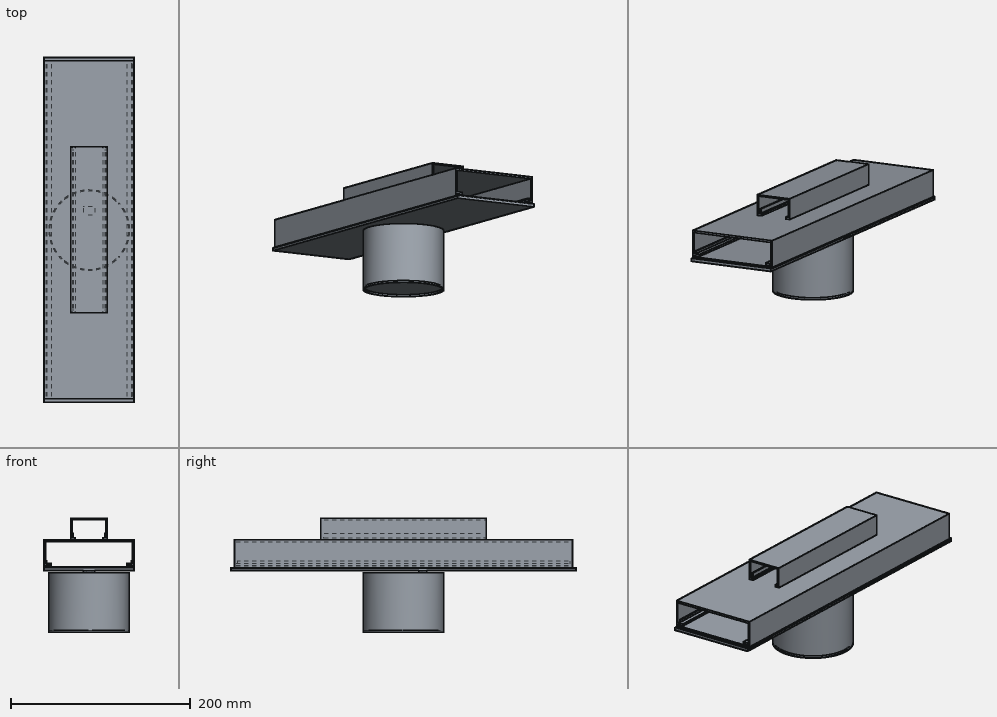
import cadquery as cq

OVERALL_LENGTH = 384.0
OVERALL_WIDTH = 100.5
OVERALL_HEIGHT = 127.0

DRUM_DIAMETER = 90.0
DRUM_HEIGHT = 66.5
RECESS_RIM = 1.0
RECESS_DEPTH = 2.3

SPACER_WIDTH = 13.0
SPACER_DEPTH = 9.2
SPACER_HEIGHT = 2.3
SPACER_FRONT = 17.0
SPACER_CORNER_RADIUS = 3.5

PLATE_THICKNESS = 3.5
PLATE_CHAMFER = 0.8
PANEL_THICKNESS = 1.0
PANEL_SIDE_GAP = 0.5

HOUSING_LENGTH = 376.5
HOUSING_HEIGHT = 31.0
HOUSING_TOP_THICKNESS = 2.3
HOUSING_LIP_WIDTH = 8.5
HOUSING_LIP_LIFT = 2.3
HOUSING_RAIL_HEIGHT = 2.5

BRACKET_LENGTH = 184.5
BRACKET_WIDTH = 40.7
BRACKET_TOP_THICKNESS = 1.5
BRACKET_LIP_WIDTH = 5.0
BRACKET_RAIL_HEIGHT = 5.0

WALL = 2.0
LIP_THICKNESS = 2.3
RAIL_THICKNESS = 1.0
RAIL_END_SETBACK = 3.0

SPACER_BASE = DRUM_HEIGHT
PLATE_BASE = SPACER_BASE + SPACER_HEIGHT
HOUSING_BASE = PLATE_BASE + PLATE_THICKNESS
BRACKET_BASE = HOUSING_BASE + HOUSING_HEIGHT
BRACKET_HEIGHT = OVERALL_HEIGHT - BRACKET_BASE


def centred_bar(width, length, height, base):
    """Bar centred on X and Y that stands on the level base."""
    bar = cq.Workplane("XY").box(width, length, height, centered=(True, True, False))
    return bar.translate((0, 0, base))


def edge_bars(outer_width, thickness, length, height, base):
    """Mirrored pair of bars along Y whose outer faces are outer_width apart."""
    outer = centred_bar(outer_width, length, height, base)
    gap = centred_bar(outer_width - 2 * thickness, length, height, base)
    return outer.cut(gap)


def make_channel(width, length, height, base, top_thickness, lip_width, lip_lift, rail_height):
    """Inverted channel along Y with a lip and a rail inside each wall."""
    inner_width = width - 2 * WALL
    lip_base = base + lip_lift
    rail_length = length - 2 * RAIL_END_SETBACK
    channel = centred_bar(width, length, height, base)
    channel = channel.cut(centred_bar(inner_width, length, height - top_thickness, base))
    lips = edge_bars(width, lip_width, length, LIP_THICKNESS, lip_base)
    rails = edge_bars(
        width, WALL + RAIL_THICKNESS, rail_length, rail_height, lip_base + LIP_THICKNESS
    )
    return channel.union(lips).union(rails)


def make_drum():
    drum = cq.Workplane("XY").circle(DRUM_DIAMETER / 2).extrude(DRUM_HEIGHT)
    recess = cq.Workplane("XY").circle(DRUM_DIAMETER / 2 - RECESS_RIM).extrude(RECESS_DEPTH)
    return drum.cut(recess)


def make_spacer():
    """Small block with its two front vertical edges rounded."""
    spacer = centred_bar(SPACER_WIDTH, SPACER_DEPTH, SPACER_HEIGHT, SPACER_BASE)
    spacer = spacer.edges("|Z and <Y").fillet(SPACER_CORNER_RADIUS)
    return spacer.translate((0, SPACER_FRONT + SPACER_DEPTH / 2, 0))


def make_cover():
    """Plate with its long upper edges chamfered and the panel on top."""
    plate = centred_bar(OVERALL_WIDTH, OVERALL_LENGTH, PLATE_THICKNESS, PLATE_BASE)
    plate = plate.faces(">Z").edges("|Y").chamfer(PLATE_CHAMFER)
    panel = centred_bar(
        OVERALL_WIDTH - 2 * (WALL + PANEL_SIDE_GAP), HOUSING_LENGTH, PANEL_THICKNESS, HOUSING_BASE
    )
    return plate.union(panel)


def make_housing():
    return make_channel(
        OVERALL_WIDTH, HOUSING_LENGTH, HOUSING_HEIGHT, HOUSING_BASE,
        HOUSING_TOP_THICKNESS, HOUSING_LIP_WIDTH, HOUSING_LIP_LIFT, HOUSING_RAIL_HEIGHT,
    )


def make_bracket():
    return make_channel(
        BRACKET_WIDTH, BRACKET_LENGTH, BRACKET_HEIGHT, BRACKET_BASE,
        BRACKET_TOP_THICKNESS, BRACKET_LIP_WIDTH, 0, BRACKET_RAIL_HEIGHT,
    )


drum = make_drum()
spacer = make_spacer()
cover = make_cover()
housing = make_housing()
bracket = make_bracket()

result = cq.Compound.makeCompound(
    [drum.val(), spacer.val(), cover.val(), housing.val(), bracket.val()]
)